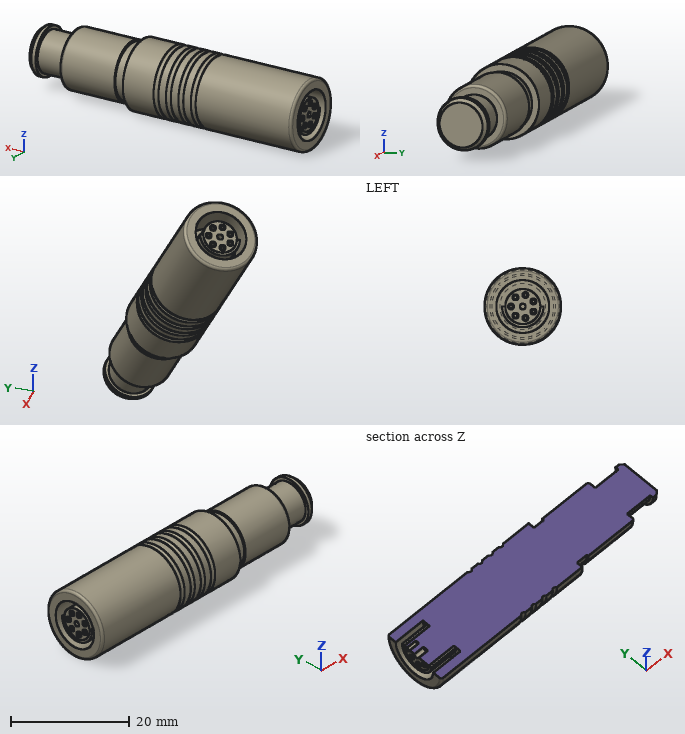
import cadquery as cq
import math

length = 54.0
front_x = -length / 2

body_diameter = 13.0
body_radius = body_diameter / 2
body_length = 33.7
body_edge_round = 0.5

groove_count = 4
groove_first_centre = 19.6
groove_pitch = 2.5
groove_width = 0.95
groove_depth = 0.295

neck_radius = 5.25
neck_end = 35.95
collar_radius = 5.55
collar_end = 47.0
collar_edge_round = 0.5
stem_radius = 3.9
flange_radius = 4.55
flange_start = 52.4
flange_chamfer_length = 0.75

socket_radius = 4.5
socket_depth = 6.5
insert_radius = 2.95
insert_recess = 0.5
key_radius = 3.5
key_recess = 0.55

contact_count = 7
contact_circle_radius = 2.0
contact_radius = 0.5
contact_bore_radius = 0.3
contact_recess = 0.15
contact_bore_depth = 2.15


def cylinder(radius, start, end):
    """Solid cylinder on the connector axis between two distances from the front face."""
    return cq.Workplane("YZ", origin=(front_x + start, 0, 0)).circle(radius).extrude(end - start)


def groove(centre):
    """Ring with a round-bottomed section that cuts one grip groove."""
    half_width = groove_width / 2
    return (
        cq.Workplane("XY")
        .moveTo(front_x + centre - half_width, body_radius)
        .threePointArc(
            (front_x + centre, body_radius - groove_depth),
            (front_x + centre + half_width, body_radius),
        )
        .close()
        .revolve(360, (0, 0, 0), (1, 0, 0))
    )


def shell():
    """Main body with a rounded front edge and grip grooves."""
    body = cylinder(body_radius, 0, body_length).faces("<X").edges().fillet(body_edge_round)
    for index in range(groove_count):
        body = body.cut(groove(groove_first_centre + index * groove_pitch))
    return body


def rear_end():
    """Neck, collar, cable stem and chamfered end flange."""
    neck = cylinder(neck_radius, body_length, neck_end)
    collar = cylinder(collar_radius, neck_end, collar_end).faces(">X").edges().fillet(collar_edge_round)
    stem = cylinder(stem_radius, collar_end, flange_start)
    flange = cylinder(flange_radius, flange_start, length)
    flange = flange.faces(">X").edges().chamfer(flange_chamfer_length, flange_radius - stem_radius)
    return neck.union(collar).union(stem).union(flange)


def insert():
    """Contact carrier with a half-round key along its lower side."""
    core = cylinder(insert_radius, insert_recess, socket_depth)
    key = (
        cq.Workplane("YZ", origin=(front_x + key_recess, 0, 0))
        .moveTo(-key_radius, 0)
        .threePointArc((0, -key_radius), (key_radius, 0))
        .close()
        .extrude(socket_depth - key_recess)
    )
    return core.union(key)


def contact_holes():
    """Stepped holes on a circle, plus a plain hole on the axis."""
    step_end = insert_recess + contact_recess
    bore_end = insert_recess + contact_bore_depth
    stepped = cylinder(contact_radius, insert_recess, step_end).union(
        cylinder(contact_bore_radius, insert_recess, bore_end)
    )
    holes = cylinder(contact_radius, insert_recess, bore_end)
    for index in range(contact_count):
        angle = 2 * math.pi * index / contact_count
        y = contact_circle_radius * math.cos(angle)
        z = contact_circle_radius * math.sin(angle)
        holes = holes.union(stepped.translate((0, y, z)))
    return holes


socket = cylinder(socket_radius, 0, socket_depth)
result = shell().union(rear_end()).cut(socket).union(insert()).cut(contact_holes())